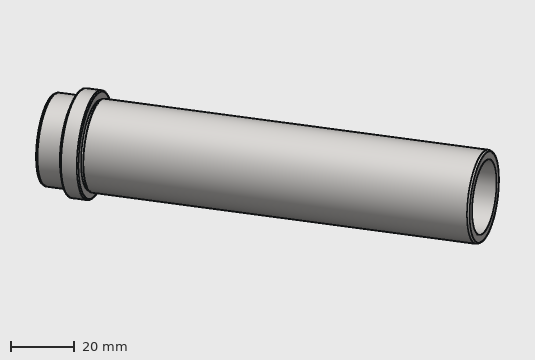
import cadquery as cq

length = 144.0
body_diameter = 30.0
bore_diameter = 24.0
collar_diameter = 35.0

collar_start = 9.0
collar_width = 6.0
collar_chamfer = 0.5

relief_width = 0.9
relief_depth = 0.5

end_chamfer_length = 0.7
end_chamfer_depth = 0.5

start_x = -length / 2
collar_x = start_x + collar_start


def cylinder(x, diameter, width):
    """Solid cylinder along X, starting at x."""
    return cq.Workplane("YZ", origin=(x, 0, 0)).circle(diameter / 2).extrude(width)


def relief(x):
    """Ring that cuts a shallow undercut into the body."""
    core_diameter = body_diameter - 2 * relief_depth
    ring = cylinder(x, collar_diameter, relief_width)
    return ring.cut(cylinder(x, core_diameter, relief_width))


def end_chamfer(x, inward):
    """Triangular ring that bevels the body rim at x; inward is the sign of X into the body."""
    radius = body_diameter / 2
    corners = [
        (x, radius - end_chamfer_depth),
        (x, radius),
        (x + inward * end_chamfer_length, radius),
    ]
    return cq.Workplane("XY").polyline(corners).close().revolve(360, (0, 0, 0), (1, 0, 0))


body = cylinder(start_x, body_diameter, length)
body = body.cut(end_chamfer(start_x, 1))
body = body.cut(end_chamfer(start_x + length, -1))

for relief_x in (collar_x - relief_width, collar_x + collar_width):
    body = body.cut(relief(relief_x))

collar = cylinder(collar_x, collar_diameter, collar_width)
collar = collar.faces("<X or >X").chamfer(collar_chamfer)

bore = cylinder(start_x, bore_diameter, length)

result = body.union(collar).cut(bore)